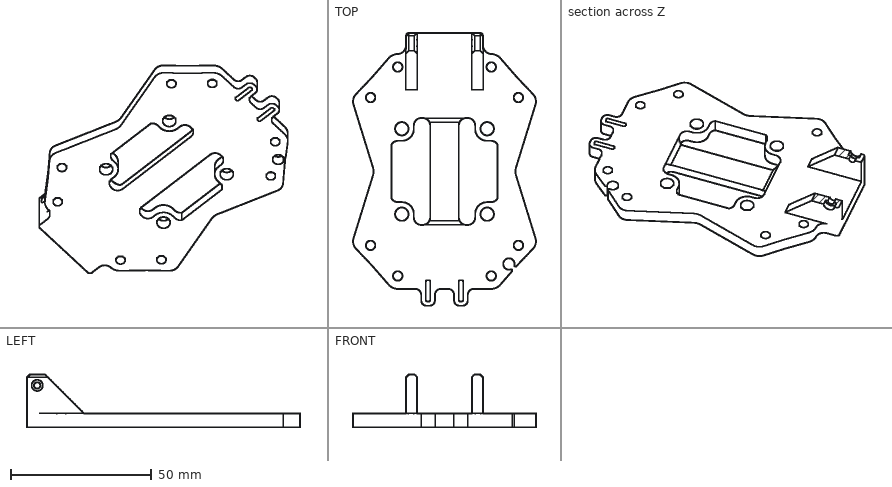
import cadquery as cq
import math

plate_thickness = 5.0
plate_half_length = 42.0
waist_half_width = 25.15
shoulder_x, shoulder_y = 33.18, 25.98
shoulder_radius = 3.75
dent_x, dent_y = 26.2, 33.3
crown_half_width = 18.6
crown_radius = 4.5
waist_radius = 4.8

mount_hole_diameter = 3.3
mount_hole_places = [(16.7, 37.3), (26.4, 26.4)]

tab_x = 5.87
tab_width = 5.0
tab_tip_y = -48.0
tab_tip_radius = 2.0
tab_root_radius = 2.0
slot_width = 1.55
slot_start_y = -38.9
slot_end_y = -46.35
slot_corner_radius = 0.4

clip_x, clip_y = 23.0, -33.05
clip_diameter = 4.0
clip_gap = 1.5
clip_lip_radius = 0.5

window_half_width = 18.87
window_half_length = 19.05
boss_pitch = 30.5
boss_hole_diameter = 4.7
boss_radius = 4.35
boss_root_x = 19.25
window_corner_radius = 2.6
boss_edge = boss_pitch / 2 - boss_radius
bar_half_width = 5.15
bar_thickness = 3.5

rear_y = 49.5
fin_outer_x = 13.75
fin_width = 4.0
fin_height = 19.0
fin_toe_y = 29.1
fin_chamfer = 1.0
fin_corner_radius = 1.0
rear_root_radius = 3.0
pin_y, pin_z = 45.85, 15.0
pin_hole_diameter = 2.2
pin_counterbore_diameter = 4.0
pin_counterbore_depth = 2.0


def prism(points):
    """A closed outline extruded through the plate thickness."""
    return cq.Workplane("XY").polyline(points).close().extrude(plate_thickness)


def fillet_at(body, x, y, radius):
    """Round the vertical edge of the body nearest to (x, y)."""
    nearest = cq.selectors.NearestToPointSelector((x, y, plate_thickness / 2))
    return body.edges("|Z").edges(nearest).fillet(radius)


def block(x_min, x_max, y_min, y_max, height=plate_thickness):
    """A box standing on Z = 0."""
    box = cq.Workplane("XY").box(x_max - x_min, y_max - y_min, height, centered=False)
    return box.translate((x_min, y_min, 0))


def through_holes(places, diameter):
    return cq.Workplane("XY").pushPoints(places).circle(diameter / 2).extrude(plate_thickness)


def mirrored(points):
    """The given points and their mirror images in all four quadrants."""
    return [(sx * x, sy * y) for x, y in points for sx in (-1, 1) for sy in (-1, 1)]


def make_outline():
    quarter = [
        (waist_half_width, 0),
        (shoulder_x, shoulder_y),
        (dent_x, dent_y),
        (crown_half_width, plate_half_length),
    ]
    upper = quarter + [(-x, y) for x, y in reversed(quarter)]
    lower = [(x, -y) for x, y in reversed(upper[1:-1])]
    plate = prism(upper + lower)
    for x, y in mirrored([(shoulder_x, shoulder_y)]):
        plate = fillet_at(plate, x, y, shoulder_radius)
    for x, y in mirrored([(crown_half_width, plate_half_length)]):
        plate = fillet_at(plate, x, y, crown_radius)
    for x in (-waist_half_width, waist_half_width):
        plate = fillet_at(plate, x, 0, waist_radius)
    return plate


def add_rear_strip(plate):
    plate = plate.union(block(-fin_outer_x, fin_outer_x, fin_toe_y, rear_y))
    for x in (-fin_outer_x, fin_outer_x):
        plate = fillet_at(plate, x, plate_half_length, rear_root_radius)
        plate = fillet_at(plate, x, rear_y, fin_corner_radius)
    return plate


def add_tabs(plate):
    half = tab_width / 2
    for x in (-tab_x, tab_x):
        plate = plate.union(block(x - half, x + half, tab_tip_y, slot_start_y))
    for x in (-tab_x, tab_x):
        for side in (x - half, x + half):
            plate = fillet_at(plate, side, -plate_half_length, tab_root_radius)
            plate = fillet_at(plate, side, tab_tip_y, tab_tip_radius)
    for x in (-tab_x, tab_x):
        slot = block(x - slot_width / 2, x + slot_width / 2, slot_end_y, slot_start_y)
        plate = plate.cut(slot.edges("|Z").fillet(slot_corner_radius))
    return plate


def make_window_half():
    """The open area on the +X side of the cross bar."""
    corners = [
        (bar_half_width, window_half_length, window_corner_radius),
        (boss_edge, window_half_length, window_corner_radius),
        (boss_edge, boss_edge, boss_radius),
        (boss_root_x, boss_edge, window_corner_radius),
    ]
    upper = [(x, y) for x, y, _ in corners]
    opening = prism(upper + [(x, -y) for x, y in reversed(upper)])
    for x, y, radius in corners:
        opening = fillet_at(opening, x, y, radius)
        opening = fillet_at(opening, x, -y, radius)
    limit = block(0, window_half_width, -window_half_length, window_half_length)
    return opening.intersect(limit)


def cut_window(plate):
    half = make_window_half()
    plate = plate.cut(half).cut(half.mirror("YZ"))
    ramp = plate_thickness - bar_thickness
    floor_half_length = window_half_length - ramp
    section = [
        (-window_half_length, plate_thickness),
        (-floor_half_length, bar_thickness),
        (floor_half_length, bar_thickness),
        (window_half_length, plate_thickness),
    ]
    channel = cq.Workplane("YZ").polyline(section).close().extrude(boss_edge - window_corner_radius, both=True)
    plate = plate.cut(channel)
    boss_places = mirrored([(boss_pitch / 2, boss_pitch / 2)])
    return plate.cut(through_holes(boss_places, boss_hole_diameter))


def cut_clip(plate):
    """A round seat that opens square to the diagonal edge through a narrow gap."""
    angle = -math.atan2(dent_x - crown_half_width, plate_half_length - dent_y)
    out_x, out_y = math.cos(angle), math.sin(angle)
    edge_distance = (dent_x - clip_x) * out_x + (-dent_y - clip_y) * out_y
    gap = (
        cq.Workplane("XY")
        .box(2 * edge_distance, clip_gap, plate_thickness, centered=(False, True, False))
        .rotate((0, 0, 0), (0, 0, 1), math.degrees(angle))
        .translate((clip_x, clip_y, 0))
    )
    plate = plate.cut(gap)
    for side in (-clip_gap / 2, clip_gap / 2):
        lip_x = clip_x + edge_distance * out_x - side * out_y
        lip_y = clip_y + edge_distance * out_y + side * out_x
        plate = fillet_at(plate, lip_x, lip_y, clip_lip_radius)
    return plate.cut(through_holes([(clip_x, clip_y)], clip_diameter))


def make_fin():
    """The +X fin: a 45 degree brace with a tapered top."""
    inner_x = fin_outer_x - fin_width
    slope_foot_y = fin_toe_y - plate_thickness
    body = block(inner_x, fin_outer_x, slope_foot_y, rear_y, fin_height)
    body = body.edges("|Z and >X and >Y").fillet(fin_corner_radius)
    body = body.faces(">Z").edges("not <Y").chamfer(fin_chamfer)
    side_profile = [
        (slope_foot_y, 0),
        (rear_y, 0),
        (rear_y, fin_height),
        (slope_foot_y + fin_height, fin_height),
    ]
    body = body.intersect(cq.Workplane("YZ").polyline(side_profile).close().extrude(fin_outer_x))
    pin = cq.Workplane("YZ").center(pin_y, pin_z).circle(pin_hole_diameter / 2).extrude(fin_outer_x)
    counterbore = (
        cq.Workplane("YZ", origin=(fin_outer_x - pin_counterbore_depth, 0, 0))
        .center(pin_y, pin_z)
        .circle(pin_counterbore_diameter / 2)
        .extrude(pin_counterbore_depth)
    )
    return body.cut(pin).cut(counterbore)


plate = make_outline()
plate = add_rear_strip(plate)
plate = add_tabs(plate)
plate = cut_window(plate)
plate = plate.cut(through_holes(mirrored(mount_hole_places), mount_hole_diameter))
plate = cut_clip(plate)
fin = make_fin()
result = plate.union(fin).union(fin.mirror("YZ"))